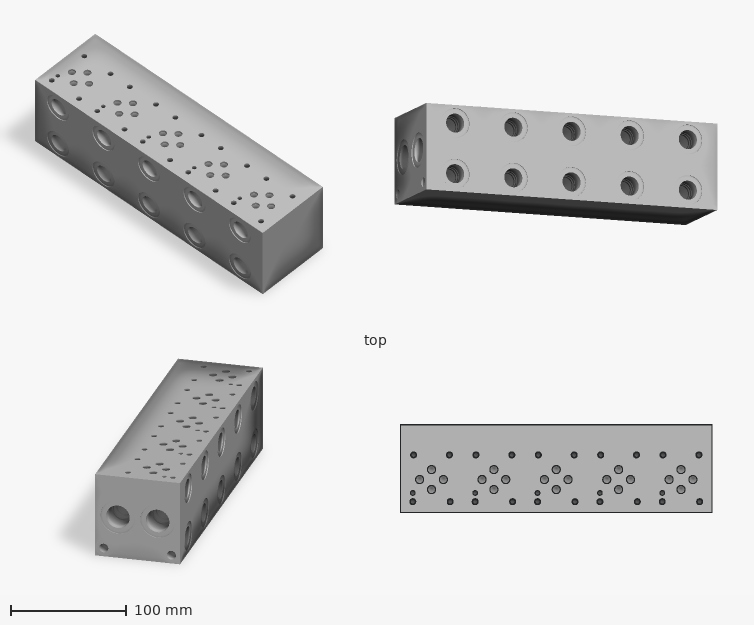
import cadquery as cq
import math

length = 270.0
side = 76.0
stations = 5
pitch = length / stations
drill_point_angle = 118.0

spotface_depth = 0.8
work_spotface_diameter = 26.0
work_thread_diameter = 16.7
work_tap_diameter = 16.0
work_passage_diameter = 14.3
work_thread_depth = 13.5
work_tap_depth = 16.2
work_passage_depth = 19.0
work_port_spacing = 44.5

supply_spotface_diameter = 30.8
supply_thread_diameter = 21.0
supply_tap_diameter = 19.0
supply_passage_diameter = 15.0
supply_thread_depth = 19.0
supply_tap_depth = 21.5
supply_passage_depth = 25.6
supply_port_spacing = 35.5

mount_thread_diameter = 8.0
mount_tap_diameter = 6.7
mount_thread_depth = 13.5
mount_tap_depth = 16.2
mount_spacing = 60.7

screw_thread_diameter = 5.0
screw_tap_diameter = 4.3
screw_thread_depth = 10.8
screw_tap_depth = 13.5
rear_screw_y = 50.0
front_screw_y = 9.5
rear_screw_spacing = 31.0
front_screw_spacing = 32.5
pin_diameter = 4.0
pin_depth = 4.0
pin_y = 17.0
flow_diameter = 7.0
flow_depth = 2.0
flow_y = 28.5
flow_half_span_x = 10.3
flow_half_span_y = 8.6


def point_height(diameter):
    """Height of the cone left by a drill of the given diameter."""
    return diameter / 2 / math.tan(math.radians(drill_point_angle / 2))


def drilled_hole(plane, centers, profile):
    """Revolved stepped hole; profile lists (diameter, depth) from the face, ending in a drill point."""
    last_diameter, last_depth = profile[-1]
    outline = [(0, 0)]
    outline += [(diameter / 2, -depth) for diameter, depth in profile]
    outline.append((0, -(last_depth + point_height(last_diameter))))
    hole = cq.Workplane("XY").polyline(outline).close().revolve(360, (0, 0, 0), (0, 1, 0))
    hole = hole.rotate((0, 0, 0), (1, 0, 0), 90).val()
    return cq.Workplane(plane).pushPoints(centers).eachpoint(hole, useLocalCoordinates=True)


def port(plane, centers, spotface, thread, thread_depth, tap, tap_depth, passage, passage_depth):
    """Spotfaced port whose tap drill leaves a conical shoulder around the passage."""
    shoulder_depth = tap_depth + point_height(tap) - point_height(passage)
    profile = [
        (spotface, 0),
        (spotface, spotface_depth),
        (thread, spotface_depth),
        (thread, thread_depth),
        (tap, thread_depth),
        (tap, tap_depth),
        (passage, shoulder_depth),
        (passage, passage_depth),
    ]
    return drilled_hole(plane, centers, profile)


def tapped_hole(plane, centers, thread, thread_depth, tap, tap_depth):
    """Blind hole at thread diameter, continued by its narrower tap drill."""
    profile = [(thread, 0), (thread, thread_depth), (tap, thread_depth), (tap, tap_depth)]
    return drilled_hole(plane, centers, profile)


def plain_hole(plane, centers, diameter, depth):
    return drilled_hole(plane, centers, [(diameter, 0), (diameter, depth)])


front_face = cq.Plane(origin=(0, 0, 0), xDir=(1, 0, 0), normal=(0, -1, 0))
left_face = cq.Plane(origin=(0, side, 0), xDir=(0, -1, 0), normal=(-1, 0, 0))
top_face = cq.Plane(origin=(0, 0, side), xDir=(1, 0, 0), normal=(0, 0, 1))

station_x = [pitch * (station + 0.5) for station in range(stations)]

work_ports = port(
    front_face,
    [(x, side / 2 + sign * work_port_spacing / 2) for x in station_x for sign in (-1, 1)],
    work_spotface_diameter,
    work_thread_diameter,
    work_thread_depth,
    work_tap_diameter,
    work_tap_depth,
    work_passage_diameter,
    work_passage_depth,
)
supply_ports = port(
    left_face,
    [(side / 2 + sign * supply_port_spacing / 2, side / 2) for sign in (-1, 1)],
    supply_spotface_diameter,
    supply_thread_diameter,
    supply_thread_depth,
    supply_tap_diameter,
    supply_tap_depth,
    supply_passage_diameter,
    supply_passage_depth,
)
mounting_holes = tapped_hole(
    left_face,
    [(side / 2 + sign * mount_spacing / 2, side / 2 - mount_spacing / 2) for sign in (-1, 1)],
    mount_thread_diameter,
    mount_thread_depth,
    mount_tap_diameter,
    mount_tap_depth,
)

screw_centers = []
pin_centers = []
flow_centers = []
for x in station_x:
    for sign in (-1, 1):
        screw_centers.append((x + sign * rear_screw_spacing / 2, rear_screw_y))
        screw_centers.append((x + sign * front_screw_spacing / 2, front_screw_y))
        flow_centers.append((x + sign * flow_half_span_x, flow_y))
        flow_centers.append((x, flow_y + sign * flow_half_span_y))
    pin_centers.append((x - front_screw_spacing / 2, pin_y))

screw_holes = tapped_hole(
    top_face,
    screw_centers,
    screw_thread_diameter,
    screw_thread_depth,
    screw_tap_diameter,
    screw_tap_depth,
)
pin_holes = plain_hole(top_face, pin_centers, pin_diameter, pin_depth)
flow_holes = plain_hole(top_face, flow_centers, flow_diameter, flow_depth)

result = cq.Workplane("XY").box(length, side, side, centered=False)
for holes in (work_ports, supply_ports, mounting_holes, screw_holes, pin_holes, flow_holes):
    result = result.cut(holes)